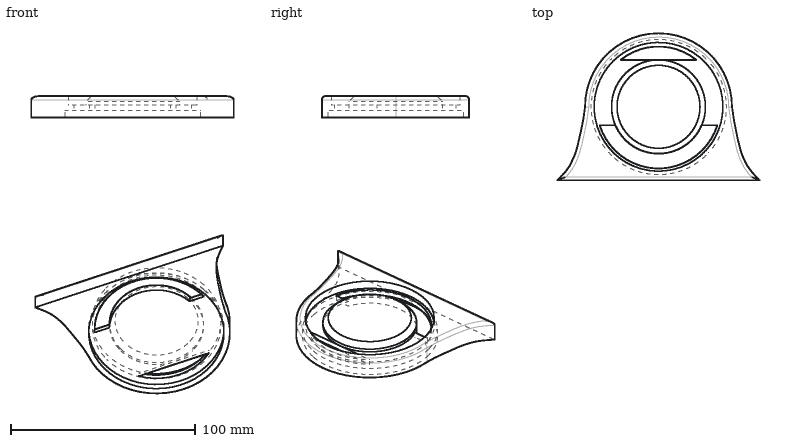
import cadquery as cq

base_width = 110.0
height = 11.8
depth = 80.0
crown_radius = depth / 2
base_y = -crown_radius
edge_fillet = 2.0

flare_upper = (42.4, -14.0)
flare_lower = (48.2, -31.9)
flare_start_direction = (0.1, -1)
flare_end_direction = (1, -1)

recess_diameter = 70.0
underside_diameter = 73.5
upper_opening_diameter = 65.3
lower_opening_diameter = 66.9
web_top = 7.0
web_thickness = 3.1
web_bottom = web_top - web_thickness

disc_diameter = 51.0
disc_chamfer = 3.0
web_upper_edge = disc_diameter / 2
web_lower_edge = -10.1


def cylinder(diameter, bottom, top):
    """Vertical cylinder on the crown axis."""
    return cq.Workplane("XY").workplane(offset=bottom).circle(diameter / 2).extrude(top - bottom)


def make_body():
    """Round crown flaring out to a straight base, with a rounded top rim."""
    half_width = base_width / 2
    upper_x, upper_y = flare_upper
    lower_x, lower_y = flare_lower
    start_x, start_y = flare_start_direction
    end_x, end_y = flare_end_direction
    outline = (
        cq.Workplane("XY")
        .moveTo(-crown_radius, 0)
        .threePointArc((0, crown_radius), (crown_radius, 0))
        .spline(
            [(upper_x, upper_y), (lower_x, lower_y), (half_width, base_y)],
            tangents=[(start_x, start_y), (end_x, end_y)],
            includeCurrent=True,
        )
        .lineTo(-half_width, base_y)
        .spline(
            [(-lower_x, lower_y), (-upper_x, upper_y), (-crown_radius, 0)],
            tangents=[(end_x, -end_y), (start_x, -start_y)],
            includeCurrent=True,
        )
        .close()
    )
    return outline.extrude(height).faces(">Z").edges().fillet(edge_fillet)


def make_openings():
    """Circular segments that pass through the web beyond its straight edges."""
    upper_side = (
        cq.Workplane("XY")
        .center(0, web_upper_edge + crown_radius / 2)
        .rect(base_width, crown_radius)
        .extrude(height)
    )
    lower_side = (
        cq.Workplane("XY")
        .center(0, web_lower_edge - crown_radius / 2)
        .rect(base_width, crown_radius)
        .extrude(height)
    )
    upper = cylinder(upper_opening_diameter, 0, height).intersect(upper_side)
    lower = cylinder(lower_opening_diameter, 0, height).intersect(lower_side)
    return upper.union(lower)


def make_disc():
    """Raised disc, flush with the rim, with a chamfered top edge."""
    return cylinder(disc_diameter, web_bottom, height).faces(">Z").edges().chamfer(disc_chamfer)


result = (
    make_body()
    .cut(cylinder(recess_diameter, web_top, height))
    .cut(cylinder(underside_diameter, 0, web_bottom))
    .cut(make_openings())
    .union(make_disc())
)